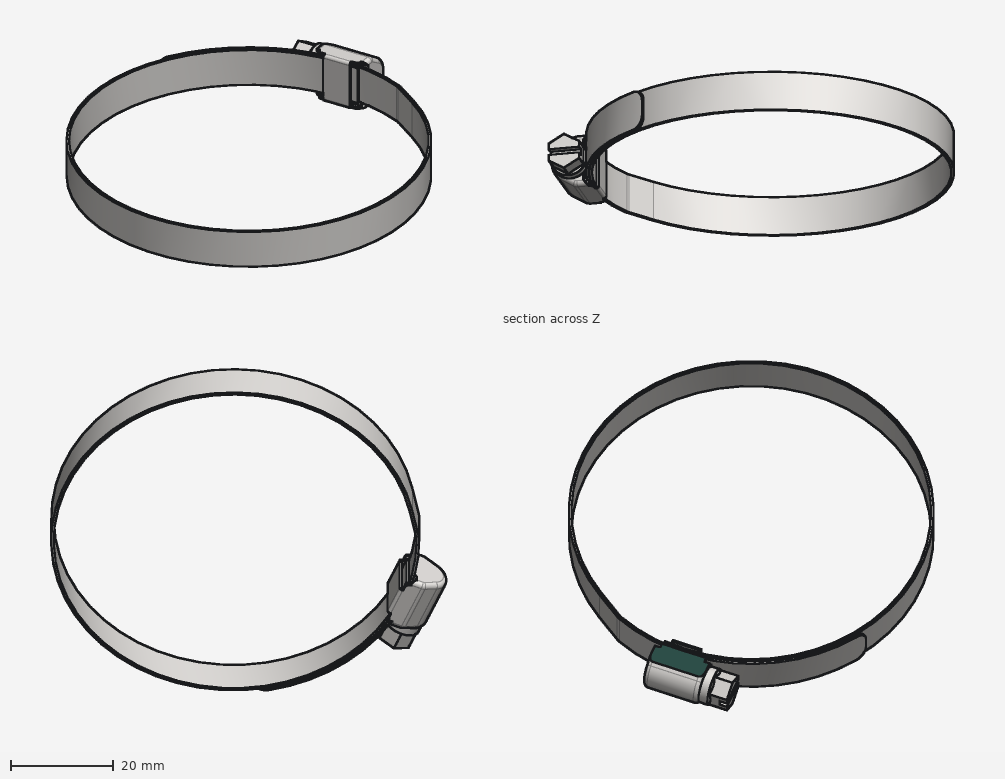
import cadquery as cq
import math


ring_radius = 35.55
band_thickness = 0.53
overlap_gap = 0.1
band_width = 7.85
band_inner_end_angle = 83.0
band_step_angle = 65.8
band_bend_radius = 3.1
band_free_end_angle = 149.7
band_tip_radius = 2.35

inner_turn_radius = ring_radius - band_thickness
overlap_inner_radius = ring_radius + overlap_gap
overlap_radius = overlap_inner_radius + band_thickness

screw_axis_y = 38.8
hex_across_flats = 6.1
hex_start_x = -11.45
collar_start_x = -7.6
collar_radius = 3.7
cone_length = 0.5
cone_start_radius = 3.0
shaft_radius = 2.35
slot_width = 1.2
slot_depth = 1.6

housing_length = 11.5
housing_width = 10.4
crown_radius = 4.1
shoulder_radius = 1.6
shoulder_y = 37.7
roof_y = 35.5
end_round = 0.95
notch_inner_z = 2.2
notch_step_z = 3.3
notch_outer_z = 4.1
notch_height = 0.95
plate_thickness = 0.5
plate_length = 9.3
plate_bottom_y = 34.6
plate_corner_radius = 0.8
strap_length = 6.0
strap_bottom_y = 33.9
strap_bend_radius = 0.6

housing_end_x = housing_length / 2
plate_end_x = plate_length / 2
housing_half_width = housing_width / 2
screw_tip_x = housing_end_x - end_round


def polar(radius, angle):
    """Point at a radius from the ring axis, its angle in degrees from +X."""
    return radius * math.cos(math.radians(angle)), radius * math.sin(math.radians(angle))


def box(x_range, y_range, z_range):
    """Box between pairs of coordinates along X, Y and Z."""
    sizes = [end - start for start, end in (x_range, y_range, z_range)]
    corner = [start for start, end in (x_range, y_range, z_range)]
    return cq.Workplane("XY").box(*sizes, centered=False).translate(corner)


def section_along_x(start_x):
    """Sketch plane across the screw axis: local x is +Y, local y is +Z, extrusion runs to +X."""
    return cq.Workplane("YZ", origin=(start_x, 0, 0))


def round_step(band, corner_radius, bend_radius):
    """Round the bend where the straight step meets the overlapping turn, on one face of the strip."""
    corner = (*polar(corner_radius, band_step_angle), 0)
    return band.edges(cq.selectors.NearestToPointSelector(corner)).fillet(bend_radius)


def make_band():
    step_lag = math.degrees(math.acos(ring_radius / overlap_radius))
    step_start_angle = band_step_angle - step_lag
    opposite = (band_inner_end_angle + step_start_angle) / 2 + 180
    overlap_middle = (band_step_angle + band_free_end_angle) / 2
    band = (
        cq.Workplane("XY", origin=(0, 0, -band_width / 2))
        .moveTo(*polar(ring_radius, band_inner_end_angle))
        .threePointArc(polar(ring_radius, opposite), polar(ring_radius, step_start_angle))
        .lineTo(*polar(overlap_radius, band_step_angle))
        .threePointArc(polar(overlap_radius, overlap_middle), polar(overlap_radius, band_free_end_angle))
        .lineTo(*polar(overlap_inner_radius, band_free_end_angle))
        .threePointArc(
            polar(overlap_inner_radius, overlap_middle), polar(overlap_inner_radius, band_step_angle)
        )
        .lineTo(*polar(inner_turn_radius, step_start_angle))
        .threePointArc(polar(inner_turn_radius, opposite), polar(inner_turn_radius, band_inner_end_angle))
        .close()
        .extrude(band_width)
    )
    band = round_step(band, overlap_inner_radius, band_bend_radius)
    band = round_step(band, overlap_radius, band_bend_radius + band_thickness)
    tip_x, tip_y = polar((overlap_inner_radius + overlap_radius) / 2, band_free_end_angle)
    reach = band_thickness
    tip_edges = cq.selectors.BoxSelector(
        (tip_x - reach, tip_y - reach, -band_width), (tip_x + reach, tip_y + reach, band_width)
    )
    return band.edges(tip_edges).edges("%LINE and (not |Z)").fillet(band_tip_radius)


def make_screw():
    head = (
        section_along_x(hex_start_x)
        .center(screw_axis_y, 0)
        .polygon(6, hex_across_flats, circumscribed=True)
        .extrude(collar_start_x - hex_start_x)
    )
    slot = box(
        (hex_start_x, hex_start_x + slot_depth),
        (screw_axis_y - hex_across_flats, screw_axis_y + hex_across_flats),
        (-slot_width / 2, slot_width / 2),
    )
    collar = (
        cq.Workplane("XY", origin=(0, screw_axis_y, 0))
        .moveTo(collar_start_x - cone_length, 0)
        .lineTo(collar_start_x - cone_length, cone_start_radius)
        .lineTo(collar_start_x, collar_radius)
        .lineTo(-housing_end_x, collar_radius)
        .lineTo(-housing_end_x, 0)
        .close()
        .revolve(360, (0, 0, 0), (1, 0, 0))
    )
    band_clearance = cq.Workplane("XY").circle(overlap_radius).extrude(band_width / 2, both=True)
    shaft = (
        section_along_x(-housing_end_x)
        .center(screw_axis_y, 0)
        .circle(shaft_radius)
        .extrude(screw_tip_x + housing_end_x)
    )
    return head.cut(slot).union(collar.cut(band_clearance)).union(shaft)


def make_housing_body():
    """Arched block around the screw, rounded at both ends and notched below them."""
    shoulder_z = housing_half_width - shoulder_radius
    drop = screw_axis_y - shoulder_y
    tangent = math.acos((crown_radius - shoulder_radius) / math.hypot(shoulder_z, drop))
    tangent -= math.atan2(drop, shoulder_z)
    rise, spread = math.sin(tangent), math.cos(tangent)
    crown_end = (screw_axis_y + crown_radius * rise, crown_radius * spread)
    shoulder_start = (shoulder_y + shoulder_radius * rise, shoulder_z + shoulder_radius * spread)
    shoulder_middle = (
        shoulder_y + shoulder_radius * math.sin(tangent / 2),
        shoulder_z + shoulder_radius * math.cos(tangent / 2),
    )

    def mirrored(point):
        return point[0], -point[1]

    body = (
        section_along_x(-housing_end_x)
        .moveTo(roof_y, -housing_half_width)
        .lineTo(shoulder_y, -housing_half_width)
        .threePointArc(mirrored(shoulder_middle), mirrored(shoulder_start))
        .lineTo(*mirrored(crown_end))
        .threePointArc((screw_axis_y + crown_radius, 0), crown_end)
        .lineTo(*shoulder_start)
        .threePointArc(shoulder_middle, (shoulder_y, housing_half_width))
        .lineTo(roof_y, housing_half_width)
        .close()
        .extrude(housing_length)
    )
    body = body.faces("<X or >X").edges("not <Y").fillet(end_round)
    for start_x in (-housing_end_x, plate_end_x):
        for side in (-1, 1):
            notch = (
                section_along_x(start_x)
                .moveTo(roof_y, side * notch_inner_z)
                .lineTo(roof_y + notch_height, side * notch_step_z)
                .lineTo(roof_y + notch_height, side * notch_outer_z)
                .lineTo(roof_y, side * housing_half_width)
                .close()
                .extrude(housing_end_x - plate_end_x)
            )
            body = body.cut(notch)
    return body


def make_strap():
    """Bent strap under the band, with the wider side plates that carry it."""
    plates = box(
        (-plate_end_x, plate_end_x), (plate_bottom_y, roof_y), (-housing_half_width, housing_half_width)
    )
    plates = plates.edges("|Z and <Y").fillet(plate_corner_radius)
    strap = box(
        (-strap_length / 2, strap_length / 2),
        (strap_bottom_y, roof_y),
        (-housing_half_width, housing_half_width),
    )
    strap = strap.edges("|X and <Y").fillet(strap_bend_radius)
    window_half_width = housing_half_width - plate_thickness
    window = box(
        (-plate_end_x, plate_end_x),
        (strap_bottom_y + plate_thickness, roof_y),
        (-window_half_width, window_half_width),
    )
    return plates.union(strap).cut(window)


def make_housing(band, screw):
    return make_housing_body().union(make_strap()).cut(band).cut(screw)


band = make_band()
screw = make_screw()
housing = make_housing(band, screw)

result = cq.Compound.makeCompound([band.val(), screw.val(), housing.val()])